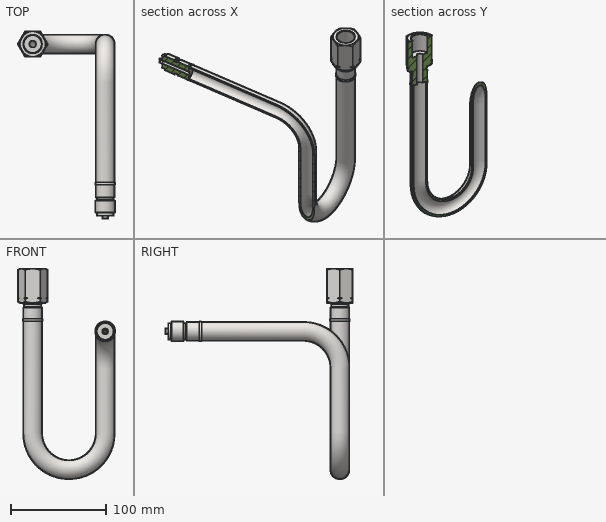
import cadquery as cq
import math

PIPE_DIAMETER = 20.0
PIPE_BORE = 14.7
BEND_RADIUS = 38.0
LEG_SPACING = 2 * BEND_RADIUS
OUTLET_AXIS_Z = 107.0
QUARTER_BEND_Z = OUTLET_AXIS_Z - BEND_RADIUS
OVERALL_HEIGHT = 220.73
INLET_TOP_Z = OVERALL_HEIGHT - BEND_RADIUS - PIPE_DIAMETER / 2
OUTLET_REACH = 183.0

BEAD_DIAMETER = 20.95
BEAD_LENGTH = 2.6

HEX_FLATS = 27.0
HEX_CORNERS = HEX_FLATS / math.cos(math.pi / 6)
HEX_LENGTH = 36.2
HEX_CHAMFER_ANGLE = math.radians(30)
HEX_TOP_FACE_DIAMETER = 26.7
HEX_BOTTOM_FACE_DIAMETER = 26.0
HEX_BOTTOM_CHAMFER_LENGTH = 1.6
NOTCH_DEPTH_FROM_TOP = 31.0
NOTCH_HALF_WIDTH = 0.75
NOTCH_DEPTH = 1.0
INLET_NECK_DIAMETER = 18.4
INLET_NECK_TAPER = 1.2
INLET_BARREL_START = 40.0
INLET_BARREL_CHAMFER = (PIPE_DIAMETER - INLET_NECK_DIAMETER) / 2
INLET_BEAD_START = 52.6
INLET_BORE = 18.63
INLET_BORE_DEPTH = 20.0
INLET_COUNTERSINK = 19.6
INLET_PASSAGE = 7.0

PIN_DIAMETER = 6.0
PIN_BORE = 3.5
PIN_LENGTH = 3.0
NOSE_DIAMETER = 17.5
COLLAR_DIAMETER = 20.95
COLLAR_FRONT = 6.0
COLLAR_FRONT_CHAMFER = 0.6
COLLAR_BACK = 19.6
COLLAR_BACK_CHAMFER = 0.9
OUTLET_BARREL_START = 21.7
OUTLET_BARREL_CHAMFER = 0.9
OUTLET_BEAD_START = 35.4


def place_on_inlet(body):
    """Move a body built downwards from Z = 0 to the top of the inlet leg."""
    return body.translate((0, 0, INLET_TOP_Z))


def place_on_outlet(body):
    """Turn a body built downwards from Z = 0 so that it runs back from the pin tip along +Y."""
    turned = body.rotate((0, 0, 0), (1, 0, 0), 90)
    return turned.translate((LEG_SPACING, -OUTLET_REACH, OUTLET_AXIS_Z))


def round_bar(diameter, start_depth, end_depth):
    """Cylinder along Z between two depths."""
    base = cq.Workplane("XY").workplane(offset=-end_depth)
    return base.circle(diameter / 2).extrude(end_depth - start_depth)


def cone(start_diameter, end_diameter, start_depth, end_depth):
    """Tapered bar along Z between two depths."""
    frustum = cq.Solid.makeCone(end_diameter / 2, start_diameter / 2, end_depth - start_depth)
    return cq.Workplane(frustum).translate((0, 0, -end_depth))


def weld_bead(start_depth):
    """Ring with a rounded outer edge that bulges out of the pipe surface."""
    pipe_radius = PIPE_DIAMETER / 2
    root_radius = (PIPE_DIAMETER + PIPE_BORE) / 4
    return (
        cq.Workplane("XZ")
        .moveTo(root_radius, -start_depth)
        .lineTo(pipe_radius, -start_depth)
        .threePointArc(
            (BEAD_DIAMETER / 2, -start_depth - BEAD_LENGTH / 2),
            (pipe_radius, -start_depth - BEAD_LENGTH),
        )
        .lineTo(root_radius, -start_depth - BEAD_LENGTH)
        .close()
        .revolve(360, (0, 0, 0), (0, 1, 0))
    )


def pipe():
    """Hollow tube from the middle of one weld bead to the middle of the other."""
    inlet_end_z = INLET_TOP_Z - INLET_BEAD_START - BEAD_LENGTH / 2
    outlet_end_y = OUTLET_BEAD_START + BEAD_LENGTH / 2 - OUTLET_REACH
    bend_mid = BEND_RADIUS * math.sqrt(0.5)
    u_path = (
        cq.Workplane("XZ")
        .moveTo(0, inlet_end_z)
        .lineTo(0, 0)
        .threePointArc((BEND_RADIUS, -BEND_RADIUS), (LEG_SPACING, 0))
        .lineTo(LEG_SPACING, QUARTER_BEND_Z)
    )
    outlet_path = (
        cq.Workplane("YZ", origin=(LEG_SPACING, 0, 0))
        .moveTo(0, QUARTER_BEND_Z)
        .threePointArc(
            (bend_mid - BEND_RADIUS, QUARTER_BEND_Z + bend_mid),
            (-BEND_RADIUS, OUTLET_AXIS_Z),
        )
        .lineTo(outlet_end_y, OUTLET_AXIS_Z)
    )
    u_section = cq.Workplane("XY", origin=(0, 0, inlet_end_z))
    outlet_section = cq.Workplane("XY", origin=(LEG_SPACING, 0, QUARTER_BEND_Z))
    u_run = u_section.circle(PIPE_DIAMETER / 2).circle(PIPE_BORE / 2).sweep(u_path)
    outlet_run = outlet_section.circle(PIPE_DIAMETER / 2).circle(PIPE_BORE / 2).sweep(outlet_path)
    return u_run.union(outlet_run)


def hexagon():
    """Hexagonal bar with both ends turned to a cone and a small notch across every corner."""
    bar = cq.Workplane("XY").workplane(offset=-HEX_LENGTH).polygon(6, HEX_CORNERS).extrude(HEX_LENGTH)
    corner_radius = HEX_CORNERS / 2
    top_radius = HEX_TOP_FACE_DIAMETER / 2
    top_chamfer = (corner_radius - top_radius) * math.tan(HEX_CHAMFER_ANGLE)
    bottom_radius = HEX_BOTTOM_FACE_DIAMETER / 2
    envelope = (
        cq.Workplane("XZ")
        .moveTo(0, 0)
        .lineTo(top_radius, 0)
        .lineTo(corner_radius, -top_chamfer)
        .lineTo(corner_radius, HEX_BOTTOM_CHAMFER_LENGTH - HEX_LENGTH)
        .lineTo(bottom_radius, -HEX_LENGTH)
        .lineTo(0, -HEX_LENGTH)
        .close()
        .revolve(360, (0, 0, 0), (0, 1, 0))
    )
    notch_ring = (
        cq.Workplane("XZ")
        .moveTo(corner_radius - NOTCH_DEPTH, -NOTCH_DEPTH_FROM_TOP)
        .lineTo(corner_radius, NOTCH_HALF_WIDTH - NOTCH_DEPTH_FROM_TOP)
        .lineTo(corner_radius, -NOTCH_HALF_WIDTH - NOTCH_DEPTH_FROM_TOP)
        .close()
        .revolve(360, (0, 0, 0), (0, 1, 0))
    )
    return bar.intersect(envelope).cut(notch_ring)


def inlet_fitting():
    """Female hexagon, grooved neck and plain barrel ending in the weld bead."""
    end_depth = INLET_BEAD_START + BEAD_LENGTH / 2
    taper_end = HEX_LENGTH + INLET_NECK_TAPER
    chamfer_end = INLET_BARREL_START + INLET_BARREL_CHAMFER
    mouth_depth = (INLET_COUNTERSINK - INLET_BORE) / 2
    body = (
        hexagon()
        .union(cone(PIPE_DIAMETER, INLET_NECK_DIAMETER, HEX_LENGTH, taper_end))
        .union(round_bar(INLET_NECK_DIAMETER, taper_end, INLET_BARREL_START))
        .union(cone(INLET_NECK_DIAMETER, PIPE_DIAMETER, INLET_BARREL_START, chamfer_end))
        .union(round_bar(PIPE_DIAMETER, chamfer_end, end_depth))
        .union(weld_bead(INLET_BEAD_START))
    )
    return (
        body.cut(round_bar(INLET_BORE, 0, INLET_BORE_DEPTH))
        .cut(cone(INLET_COUNTERSINK, INLET_BORE, 0, mouth_depth))
        .cut(round_bar(INLET_PASSAGE, 0, end_depth))
    )


def outlet_fitting():
    """Hollow pin, nose, chamfered collar, groove and barrel ending in the weld bead."""
    end_depth = OUTLET_BEAD_START + BEAD_LENGTH / 2
    collar_front_end = COLLAR_FRONT + COLLAR_FRONT_CHAMFER
    collar_back_start = COLLAR_BACK - COLLAR_BACK_CHAMFER
    chamfer_end = OUTLET_BARREL_START + OUTLET_BARREL_CHAMFER
    return (
        round_bar(PIN_DIAMETER, 0, PIN_LENGTH)
        .union(round_bar(NOSE_DIAMETER, PIN_LENGTH, OUTLET_BARREL_START))
        .union(cone(NOSE_DIAMETER, COLLAR_DIAMETER, COLLAR_FRONT, collar_front_end))
        .union(round_bar(COLLAR_DIAMETER, collar_front_end, collar_back_start))
        .union(cone(COLLAR_DIAMETER, NOSE_DIAMETER, collar_back_start, COLLAR_BACK))
        .union(cone(NOSE_DIAMETER, PIPE_DIAMETER, OUTLET_BARREL_START, chamfer_end))
        .union(round_bar(PIPE_DIAMETER, chamfer_end, end_depth))
        .union(weld_bead(OUTLET_BEAD_START))
        .cut(round_bar(PIN_BORE, 0, end_depth))
    )


result = pipe().union(place_on_inlet(inlet_fitting())).union(place_on_outlet(outlet_fitting()))